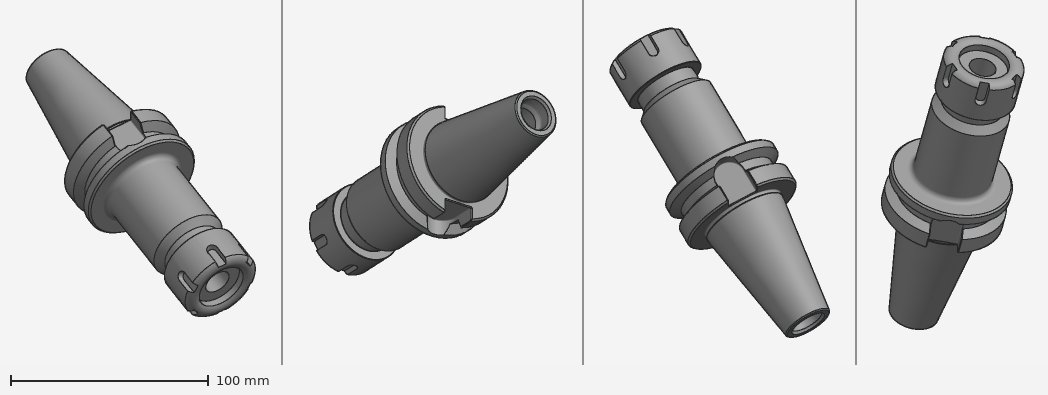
import cadquery as cq
import math


overall_length = 170.05

taper_length = 65.4
gauge_radius = 44.45 / 2
taper_ratio = 7 / 24
taper_small_radius = gauge_radius - taper_length * taper_ratio / 2
taper_end_radius = 24.13 / 2
taper_end_bevel = 0.6
taper_bevel_radius = taper_small_radius + taper_end_bevel * taper_ratio / 2
relief_radius = 43.94 / 2
relief_fillet = 0.5
relief_cone = 0.4

flange_radius = 62.99 / 2
flange_start = 2.0
flange_end = 27.0
flange_bevel = 1.0
groove_radius = 26.3
groove_floor_start = 14.25
groove_floor_end = 19.2
groove_flank_angle = 26.5
groove_flank = (flange_radius - groove_radius) * math.tan(math.radians(groove_flank_angle))

keyway_width = 16.1
keyway_floor = 23.1
keyway_end = 23.5
keyway_bevel = 0.5
keyway_floor_fillet = 0.5

body_radius = 40.51 / 2
body_fillet = 3.0
body_end = 71.2
neck_radius = 32.51 / 2
neck_start = body_end + body_radius - neck_radius
nose_radius = 32.0 / 2

bore_radius = 13.84 / 2
pilot_radius = 17.01 / 2
pilot_mouth_radius = 19.0 / 2
pilot_mouth_depth = 1.4
pilot_depth = 6.8
bore_cone_mouth_radius = 8.2
bore_cone_depth = 7.8
bore_cone_angle = 30.0

nut_radius = 41.73 / 2
nut_length = 22.65
nut_end = overall_length - taper_length
nut_start = nut_end - nut_length
nut_rear_bevel = 0.3
nut_crest_radius = 16.5
nut_front_curve = 5.4
nut_lip = 5.0
nut_opening_radius = 26.09 / 2
nose_end = nut_end - nut_lip

slot_count = 6
slot_floor_width = 4.6
slot_draft = 11.0
slot_length = 12.2
slot_floor = 17.9


def revolve_about_x(profile):
    """Turn a closed (x, radius) profile around the X axis."""
    return profile.close().revolve(360, (0, 0, 0), (1, 0, 0))


def holder_outside():
    arc_drop = 1 - math.sqrt(0.5)
    return revolve_about_x(
        cq.Workplane("XY")
        .moveTo(-taper_length, 0)
        .lineTo(-taper_length, taper_end_radius)
        .lineTo(-taper_length + taper_end_bevel, taper_bevel_radius)
        .lineTo(0, gauge_radius)
        .lineTo(relief_cone, relief_radius)
        .lineTo(flange_start - relief_fillet, relief_radius)
        .threePointArc(
            (flange_start - relief_fillet * arc_drop, relief_radius + relief_fillet * arc_drop),
            (flange_start, relief_radius + relief_fillet),
        )
        .lineTo(flange_start, flange_radius - flange_bevel)
        .lineTo(flange_start + flange_bevel, flange_radius)
        .lineTo(groove_floor_start - groove_flank, flange_radius)
        .lineTo(groove_floor_start, groove_radius)
        .lineTo(groove_floor_end, groove_radius)
        .lineTo(groove_floor_end + groove_flank, flange_radius)
        .lineTo(flange_end - flange_bevel, flange_radius)
        .lineTo(flange_end, flange_radius - flange_bevel)
        .lineTo(flange_end, body_radius + body_fillet)
        .threePointArc(
            (flange_end + body_fillet * arc_drop, body_radius + body_fillet * arc_drop),
            (flange_end + body_fillet, body_radius),
        )
        .lineTo(body_end, body_radius)
        .lineTo(neck_start, neck_radius)
        .lineTo(nut_start, neck_radius)
        .lineTo(nut_start, nose_radius)
        .lineTo(nose_end, nose_radius)
        .lineTo(nose_end, 0)
    )


def holder_bore():
    pilot_end = -taper_length + pilot_depth
    bore_cone_start = -taper_length + bore_cone_depth
    bore_cone_length = (bore_cone_mouth_radius - bore_radius) / math.tan(math.radians(bore_cone_angle))
    return revolve_about_x(
        cq.Workplane("XY")
        .moveTo(-taper_length, 0)
        .lineTo(-taper_length, pilot_mouth_radius)
        .lineTo(-taper_length + pilot_mouth_depth, pilot_radius)
        .lineTo(pilot_end, pilot_radius)
        .lineTo(bore_cone_start, bore_cone_mouth_radius)
        .lineTo(bore_cone_start + bore_cone_length, bore_radius)
        .lineTo(nose_end, bore_radius)
        .lineTo(nose_end, 0)
    )


def keyway_cutter():
    """Round-ended keyway on the +Z side, open at the taper side of the flange."""
    half_width = keyway_width / 2
    arc_center = keyway_end - half_width
    return (
        cq.Workplane("XY", origin=(0, 0, keyway_floor))
        .moveTo(flange_start, -half_width)
        .lineTo(arc_center, -half_width)
        .threePointArc((keyway_end, 0), (arc_center, half_width))
        .lineTo(flange_start, half_width)
        .close()
        .extrude(flange_radius - keyway_floor)
        .faces("<Z")
        .edges("not <X")
        .fillet(keyway_floor_fillet)
    )


def bevel_keyways(holder):
    """Bevel the mouth of both keyways and their straight rims in front of the groove."""
    margin = 0.1
    bevel_end = groove_floor_start - margin
    rim_height = keyway_floor + keyway_floor_fillet + margin
    for side in (-1, 1):
        around_keyway = cq.selectors.BoxSelector(
            (flange_start - margin, -keyway_width, side * (keyway_floor - margin)),
            (bevel_end, keyway_width, side * (flange_radius + margin)),
        )
        edges = [
            edge
            for edge in holder.edges(around_keyway).vals()
            if abs(edge.Center().y) < keyway_width / 2 + margin
            and (edge.Center().x < flange_start + margin or abs(edge.Center().z) > rim_height)
        ]
        holder = holder.newObject(edges).chamfer(keyway_bevel)
    return holder


def make_holder():
    holder = holder_outside().cut(holder_bore())
    for angle in (0, 180):
        holder = holder.cut(keyway_cutter().rotate((0, 0, 0), (1, 0, 0), angle))
    return bevel_keyways(holder)


def nut_front_at(radius):
    """X of the rounded nut front at a given distance from the axis."""
    offset = radius - nut_crest_radius
    return nut_end - nut_front_curve + math.sqrt(nut_front_curve ** 2 - offset ** 2)


def nut_blank():
    return revolve_about_x(
        cq.Workplane("XY")
        .moveTo(nut_start, nose_radius)
        .lineTo(nut_start, nut_radius - nut_rear_bevel)
        .lineTo(nut_start + nut_rear_bevel, nut_radius)
        .lineTo(nut_front_at(nut_radius), nut_radius)
        .threePointArc((nut_end, nut_crest_radius), (nut_front_at(nut_opening_radius), nut_opening_radius))
        .lineTo(nose_end, nut_opening_radius)
        .lineTo(nose_end, nose_radius)
    )


def spanner_slot_cutter():
    """Round-ended slot on the +Z side, open at the front of the nut."""
    half_width = slot_floor_width / 2
    slot_start = nut_end - slot_length
    open_end = nut_end + slot_length
    arc_center = slot_start + half_width
    return (
        cq.Workplane("XY", origin=(0, 0, slot_floor))
        .moveTo(open_end, -half_width)
        .lineTo(arc_center, -half_width)
        .threePointArc((slot_start, 0), (arc_center, half_width))
        .lineTo(open_end, half_width)
        .close()
        .extrude(nut_radius - slot_floor, taper=-slot_draft)
    )


def make_nut():
    nut = nut_blank()
    for index in range(slot_count):
        angle = index * 360 / slot_count
        nut = nut.cut(spanner_slot_cutter().rotate((0, 0, 0), (1, 0, 0), angle))
    return nut


holder = make_holder()
nut = make_nut()
result = cq.Compound.makeCompound([holder.val(), nut.val()])